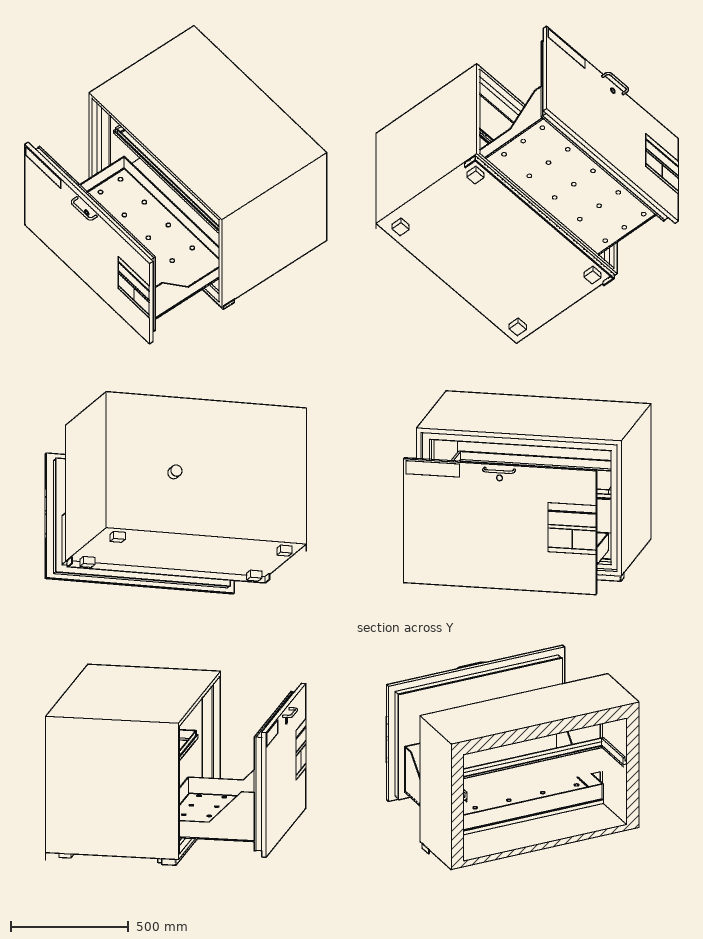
import cadquery as cq


CABINET_W = 893.0
CABINET_D = 577.0
CABINET_H = 600.0

FRAME_EDGE = 20.0
DOOR_RECESS_D = 28.0
THROAT_END = 69.0
SILL_D = 10.0
THROAT_HALF_W = 396.0
THROAT_BOTTOM = 39.0
THROAT_TOP = 544.0
SILL_STEP = 10.0
CAVITY_HALF_W = THROAT_HALF_W - SILL_STEP
CAVITY_BOTTOM = 30.0
CAVITY_TOP = THROAT_TOP - SILL_STEP
REAR_WALL = 49.0

FOOT_SIZE = 52.0
FOOT_H = 31.0
FOOT_INSET = 49.0
CORNER_STRIP = 1.0

PIPE_DIA = 50.0
PIPE_L = 44.0
PIPE_X = 147.0
PIPE_Z = 264.0

PLINTH_W = 885.0
PLINTH_D = 62.0
PLINTH_H = 27.0
PLINTH_SETBACK = 11.0
PLINTH_SHEET = 5.0

SHELF_FRONT = 86.0
SHELF_BACK = CABINET_D - REAR_WALL
FLANGE_BOTTOM = 316.0
FLANGE_H = 17.0
RIM_SETBACK = 5.0
RIM_H = 19.0
RIM_SIDE_T = 10.0
RIM_FRONT_T = 3.0
TRAY_SETBACK = 10.0
TRAY_SHEET = 2.0
TRAY_DROP = 9.0

DRAWER_W = 725.0
DRAWER_FRONT = -317.0
DRAWER_BACK = 125.0
DRAWER_BOTTOM = 74.0
DRAWER_SIDE_H = 76.0
DRAWER_FRONT_H = 217.0
DRAWER_SLOPE_START = -115.0
DRAWER_SLOPE_RUN = DRAWER_FRONT_H - DRAWER_SIDE_H
DRAWER_SHEET = 4.0

INSERT_GAP = 3.0
INSERT_SHIFT_X = INSERT_GAP
INSERT_T = 2.0
HOLE_DIA = 20.0
HOLE_COLUMNS = 5
HOLE_ROWS = 4
HOLE_PITCH_X = 161.0
HOLE_PITCH_Y = 110.0

PANEL_W = 838.0
PANEL_T = 20.0
PANEL_BOTTOM = 23.0
PANEL_TOP = 572.0
CORE_W = 775.0
CORE_T = 30.0
SEAL_OVERHANG = 1.6
SEAL_T = 8.0
CORE_BOTTOM = 42.0
CORE_TOP = 541.0
SEAL_BACK = DRAWER_FRONT
SEAL_FRONT = SEAL_BACK - SEAL_T
PANEL_BACK = SEAL_FRONT - CORE_T
PANEL_FRONT = PANEL_BACK - PANEL_T

LOCK_DIA = 25.0
LOCK_T = 4.0
LOCK_Z = 515.0

LABEL_T = 1.0
NAME_LABEL_W = 233.0
NAME_LABEL_H = 58.0
NAME_LABEL_INSET_X = 10.0
NAME_LABEL_INSET_Z = 7.0
WARNING_LABEL_W = 208.0
WARNING_LABEL_H = 218.0
WARNING_LABEL_BOTTOM = 201.0
DIVIDER_W = 1.0
DIVIDER_HEIGHTS = (20.0, 105.0, 120.0, 179.0, 183.0)
SPLIT_X = 105.0

HANDLE_DIA = 10.3
HANDLE_Z = 552.0
HANDLE_SPAN = 128.0
HANDLE_BEND_R = 16.0
HANDLE_FRONT = CABINET_D + PIPE_L - 1036
HANDLE_BAR_Y = HANDLE_FRONT + HANDLE_DIA / 2


def block(x0, x1, y0, y1, z0, z1):
    """Box between two corners."""
    return cq.Workplane("XY").box(x1 - x0, y1 - y0, z1 - z0, centered=False).translate((x0, y0, z0))


def centred_block(width, y0, y1, z0, z1):
    """Box that is centred on X = 0."""
    return block(-width / 2, width / 2, y0, y1, z0, z1)


def make_cabinet():
    body = centred_block(CABINET_W, 0, CABINET_D, 0, CABINET_H)

    recess_w = CABINET_W - 2 * FRAME_EDGE
    sill_end = THROAT_END + SILL_D
    cavity_w = 2 * CAVITY_HALF_W
    cavity_back = CABINET_D - REAR_WALL
    body = body.cut(centred_block(recess_w, 0, DOOR_RECESS_D, FRAME_EDGE, CABINET_H - FRAME_EDGE))
    body = body.cut(centred_block(2 * THROAT_HALF_W, DOOR_RECESS_D, THROAT_END, THROAT_BOTTOM, THROAT_TOP))
    body = body.cut(centred_block(cavity_w, THROAT_END, sill_end, THROAT_BOTTOM + SILL_STEP, CAVITY_TOP))
    body = body.cut(centred_block(cavity_w, sill_end, cavity_back, CAVITY_BOTTOM, CAVITY_TOP))

    foot_x = CABINET_W / 2 - FOOT_INSET - FOOT_SIZE / 2
    foot_y = CABINET_D / 2 - FOOT_INSET - FOOT_SIZE / 2
    feet = (
        cq.Workplane("XY", origin=(0, CABINET_D / 2, 0))
        .rect(2 * foot_x, 2 * foot_y, forConstruction=True)
        .vertices()
        .rect(FOOT_SIZE, FOOT_SIZE)
        .extrude(-FOOT_H)
    )
    left = -CABINET_W / 2
    strip = block(left, left + CORNER_STRIP, CABINET_D - CORNER_STRIP, CABINET_D, -FOOT_H, 0)

    pipe = (
        cq.Workplane("XZ", origin=(PIPE_X, CABINET_D, PIPE_Z))
        .circle(PIPE_DIA / 2)
        .extrude(-PIPE_L)
    )
    return body.union(feet).union(strip).union(pipe)


def make_plinth():
    """Front board with two short side returns, open towards the rear."""
    back = PLINTH_SETBACK + PLINTH_D
    board = centred_block(PLINTH_W, PLINTH_SETBACK, back, -PLINTH_H, 0)
    inner_w = PLINTH_W - 2 * PLINTH_SHEET
    return board.cut(centred_block(inner_w, PLINTH_SETBACK + PLINTH_SHEET, back, -PLINTH_H, 0))


def make_shelf():
    """Tray between the side walls: a flange with a raised rim, and a shallow tray hung below it."""
    flange_top = FLANGE_BOTTOM + FLANGE_H
    rim_top = flange_top + RIM_H
    rim_front = SHELF_FRONT + RIM_SETBACK
    rim_w = 2 * (CAVITY_HALF_W - RIM_SETBACK)
    opening_w = rim_w - 2 * RIM_SIDE_T
    opening_front = rim_front + RIM_FRONT_T
    opening_back = SHELF_BACK - RIM_SIDE_T
    tray_w = opening_w + 2 * TRAY_SHEET
    tray_front = SHELF_FRONT + TRAY_SETBACK
    tray_back = opening_back + TRAY_SHEET
    tray_bottom = FLANGE_BOTTOM - TRAY_DROP

    flange = centred_block(2 * CAVITY_HALF_W, SHELF_FRONT, SHELF_BACK, FLANGE_BOTTOM, flange_top)
    rim = centred_block(rim_w, rim_front, SHELF_BACK, flange_top, rim_top)
    tray = centred_block(tray_w, tray_front, tray_back, tray_bottom, FLANGE_BOTTOM)
    opening = centred_block(opening_w, opening_front, opening_back, FLANGE_BOTTOM, rim_top)
    tray_hollow = centred_block(
        opening_w, tray_front + TRAY_SHEET, opening_back, tray_bottom + TRAY_SHEET, FLANGE_BOTTOM
    )
    return flange.union(rim).union(tray).cut(opening).cut(tray_hollow)


def make_drawer():
    """Open pan whose side walls rise at 45 degrees to a high front wall."""
    side_top = DRAWER_BOTTOM + DRAWER_SIDE_H
    front_top = DRAWER_BOTTOM + DRAWER_FRONT_H
    outline = [
        (DRAWER_FRONT, DRAWER_BOTTOM),
        (DRAWER_BACK, DRAWER_BOTTOM),
        (DRAWER_BACK, side_top),
        (DRAWER_SLOPE_START, side_top),
        (DRAWER_SLOPE_START - DRAWER_SLOPE_RUN, front_top),
        (DRAWER_FRONT, front_top),
    ]
    pan = cq.Workplane("YZ").polyline(outline).close().extrude(DRAWER_W / 2, both=True)
    hollow = centred_block(
        DRAWER_W - 2 * DRAWER_SHEET,
        DRAWER_FRONT + DRAWER_SHEET,
        DRAWER_BACK - DRAWER_SHEET,
        DRAWER_BOTTOM + DRAWER_SHEET,
        front_top,
    )
    return pan.cut(hollow)


def make_insert():
    """Perforated sheet that lies on the drawer floor."""
    margin = DRAWER_SHEET + INSERT_GAP
    bottom = DRAWER_BOTTOM + DRAWER_SHEET
    middle_y = (DRAWER_FRONT + DRAWER_BACK) / 2
    return (
        cq.Workplane("XY", origin=(INSERT_SHIFT_X, middle_y, bottom))
        .rect(DRAWER_W - 2 * margin, DRAWER_BACK - DRAWER_FRONT - 2 * margin)
        .extrude(INSERT_T)
        .faces(">Z")
        .workplane(origin=(INSERT_SHIFT_X, middle_y, bottom))
        .rarray(HOLE_PITCH_X, HOLE_PITCH_Y, HOLE_COLUMNS, HOLE_ROWS)
        .hole(HOLE_DIA)
    )


def label_block(x0, x1, z0, z1):
    """Thin plate on the front face of the door panel."""
    return block(x0, x1, PANEL_FRONT - LABEL_T, PANEL_FRONT, z0, z1)


def make_name_label():
    left = -PANEL_W / 2 + NAME_LABEL_INSET_X
    top = PANEL_TOP - NAME_LABEL_INSET_Z
    return label_block(left, left + NAME_LABEL_W, top - NAME_LABEL_H, top)


def make_warning_label():
    """Plate at the right edge of the door, divided into fields by narrow grooves."""
    right = PANEL_W / 2
    left = right - WARNING_LABEL_W
    bottom = WARNING_LABEL_BOTTOM
    label = label_block(left, right, bottom, bottom + WARNING_LABEL_H)
    for height in DIVIDER_HEIGHTS:
        groove_z = bottom + height
        label = label.cut(label_block(left, right, groove_z, groove_z + DIVIDER_W))
    split_left = left + SPLIT_X
    split_bottom = bottom + DIVIDER_HEIGHTS[0]
    split_top = bottom + DIVIDER_HEIGHTS[1]
    return label.cut(label_block(split_left, split_left + DIVIDER_W, split_bottom, split_top))


def make_door():
    panel = centred_block(PANEL_W, PANEL_FRONT, PANEL_BACK, PANEL_BOTTOM, PANEL_TOP)
    core = centred_block(CORE_W, PANEL_BACK, SEAL_FRONT, CORE_BOTTOM, CORE_TOP)
    seal = centred_block(
        CORE_W + 2 * SEAL_OVERHANG,
        SEAL_FRONT,
        SEAL_BACK,
        CORE_BOTTOM - SEAL_OVERHANG,
        CORE_TOP + SEAL_OVERHANG,
    )
    lock = cq.Workplane("XZ", origin=(0, PANEL_FRONT, LOCK_Z)).circle(LOCK_DIA / 2).extrude(LOCK_T)

    return panel.union(core).union(seal).union(lock).union(make_name_label()).union(make_warning_label())


def make_handle():
    """Round bar bent into a bow, with both legs ending on the door."""
    leg_x = HANDLE_SPAN / 2
    bar_end_x = leg_x - HANDLE_BEND_R
    bend_y = HANDLE_BAR_Y + HANDLE_BEND_R
    path = (
        cq.Workplane("XY", origin=(0, 0, HANDLE_Z))
        .moveTo(-leg_x, PANEL_FRONT)
        .lineTo(-leg_x, bend_y)
        .tangentArcPoint((-bar_end_x, HANDLE_BAR_Y), relative=False)
        .lineTo(bar_end_x, HANDLE_BAR_Y)
        .tangentArcPoint((leg_x, bend_y), relative=False)
        .lineTo(leg_x, PANEL_FRONT)
    )
    section = cq.Workplane("XZ", origin=(-leg_x, PANEL_FRONT, HANDLE_Z)).circle(HANDLE_DIA / 2)
    return section.sweep(path)


cabinet = make_cabinet()
plinth = make_plinth()
shelf = make_shelf()
drawer = make_drawer()
insert = make_insert()
door = make_door()
handle = make_handle()

result = cq.Compound.makeCompound([
    cabinet.val(),
    plinth.val(),
    shelf.val(),
    drawer.val(),
    insert.val(),
    door.val(),
    handle.val(),
])